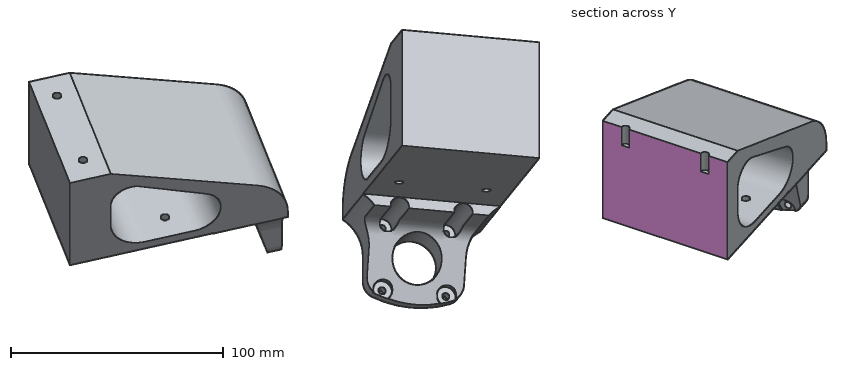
import cadquery as cq
import math


WIDTH = 67.0
LENGTH = 107.1
BODY_HEIGHT = 57.9
TOP_FLAT_LENGTH = 20.0
NOSE_HEIGHT = 20.2
NOSE_RADIUS = 25.0

WINDOW_FLOOR = 4.8
WINDOW_BACK_RADIUS = 17.2
WINDOW_TOP_RADIUS = 10.0
WINDOW_TIP_RADIUS = 12.6
WINDOW_TIP_CENTER_Y = -45.6
WINDOW_SLOPE = 25.5

SCREW_DIAMETER = 4.0
SCREW_SPACING = 42.5
TOP_SCREW_INSET = 10.1
TOP_SCREW_DEPTH = 10.7
FLOOR_SCREW_Y = -56.8

FLANGE_WIDTH = 47.4
FLANGE_DROP = 41.2
FLANGE_TIP_THICKNESS = 5.0
FLANGE_TAPER = 15.1
FLANGE_NECK_RADIUS = 20.0
FLANGE_NECK_DROP = 17.5
FLANGE_BOTTOM_RADIUS = 51.4
FLANGE_CORNER_RADIUS = 7.7
SLAB_LENGTH = 37.0
SLAB_THICKNESS = 5.1
GUSSET_RADIUS = 7.6
GUSSET_DIP_RADIUS = 5.5

TAPER_RUN = (FLANGE_DROP - SLAB_THICKNESS) * math.tan(math.radians(FLANGE_TAPER))
ROOT_Y = -FLANGE_TIP_THICKNESS - TAPER_RUN

BORE_DIAMETER = 24.0
BORE_Z = -20.2
BOLT_SPACING = 31.1
BOLT_DIAMETER = 3.4
UPPER_COUNTERBORE_DIAMETER = 9.0
LOWER_COUNTERBORE_DIAMETER = 9.3
COUNTERBORE_FLOOR = 5.0


def extrude_across(profile, width):
    """Extrude a closed YZ profile symmetrically about X = 0."""
    return profile.extrude(width / 2, both=True)


def round_edge(solid, y, z, radius):
    """Round the X-parallel edge passing through (y, z)."""
    return solid.edges(cq.selectors.NearestToPointSelector((0, y, z))).fillet(radius)


def make_body():
    profile = cq.Workplane("YZ").polyline([
        (0, 0),
        (-LENGTH, 0),
        (-LENGTH, BODY_HEIGHT),
        (TOP_FLAT_LENGTH - LENGTH, BODY_HEIGHT),
        (0, NOSE_HEIGHT),
    ]).close()
    return round_edge(extrude_across(profile, WIDTH), 0, NOSE_HEIGHT, NOSE_RADIUS)


def make_window():
    slope = math.radians(WINDOW_SLOPE)
    back_y = TOP_FLAT_LENGTH - LENGTH
    tip_y = WINDOW_TIP_CENTER_Y + WINDOW_TIP_RADIUS / math.tan(slope / 2)
    top_z = WINDOW_FLOOR + (tip_y - back_y) * math.tan(slope)
    profile = cq.Workplane("YZ").polyline([
        (tip_y, WINDOW_FLOOR),
        (back_y, WINDOW_FLOOR),
        (back_y, top_z),
    ]).close()
    window = extrude_across(profile, WIDTH)
    window = round_edge(window, tip_y, WINDOW_FLOOR, WINDOW_TIP_RADIUS)
    window = round_edge(window, back_y, WINDOW_FLOOR, WINDOW_BACK_RADIUS)
    return round_edge(window, back_y, top_z, WINDOW_TOP_RADIUS)


def make_body_screw_holes():
    def drill_pair(y, top_z, depth):
        return (
            cq.Workplane("XY", origin=(0, y, top_z))
            .rarray(SCREW_SPACING, 1.1, 2, 1)
            .circle(SCREW_DIAMETER / 2)
            .extrude(-depth)
        )

    top_holes = drill_pair(TOP_SCREW_INSET - LENGTH, BODY_HEIGHT, TOP_SCREW_DEPTH)
    floor_holes = drill_pair(FLOOR_SCREW_Y, WINDOW_FLOOR, WINDOW_FLOOR)
    return top_holes.union(floor_holes)


def make_gusset():
    """Side shape of the flange: a short slab and a tapered plate, blended where they meet."""
    profile = cq.Workplane("YZ").polyline([
        (0, 0),
        (-SLAB_LENGTH, 0),
        (-SLAB_LENGTH, -SLAB_THICKNESS),
        (ROOT_Y, -SLAB_THICKNESS),
        (-FLANGE_TIP_THICKNESS, -FLANGE_DROP),
        (0, -FLANGE_DROP),
    ]).close()
    gusset = extrude_across(profile, WIDTH)

    stations = [(-WIDTH / 2, GUSSET_RADIUS)]
    for bolt_x in (-BOLT_SPACING / 2, BOLT_SPACING / 2):
        half_dip = UPPER_COUNTERBORE_DIAMETER / 2
        stations.append((bolt_x - half_dip, GUSSET_RADIUS))
        stations.append((bolt_x, GUSSET_DIP_RADIUS))
        stations.append((bolt_x + half_dip, GUSSET_RADIUS))
    stations.append((WIDTH / 2, GUSSET_RADIUS))
    for start, end in zip(stations, stations[1:]):
        wires = [make_blend_section(x, radius) for x, radius in (start, end)]
        gusset = gusset.union(cq.Workplane(cq.Solid.makeLoft(wires, True)))
    return gusset


def make_blend_section(x, radius):
    """Concave corner between the slab underside and the tapered plate, at one X."""
    taper = math.radians(FLANGE_TAPER)
    tangent = radius * math.tan((math.pi / 2 - taper) / 2)
    slab_end = (ROOT_Y - tangent, -SLAB_THICKNESS)
    plate_end = (ROOT_Y + tangent * math.sin(taper), -SLAB_THICKNESS - tangent * math.cos(taper))
    center_y, center_z = slab_end[0], -SLAB_THICKNESS - radius
    middle_angle = (math.pi / 2 + taper) / 2
    middle = (center_y + radius * math.cos(middle_angle), center_z + radius * math.sin(middle_angle))
    section = (
        cq.Workplane("YZ", origin=(x, 0, 0))
        .moveTo(ROOT_Y, -SLAB_THICKNESS)
        .lineTo(*slab_end)
        .threePointArc(middle, plate_end)
        .close()
    )
    return section.val()


def make_flange_outline():
    """Face shape of the flange: flared neck, straight sides, bowed bottom."""
    half_width = FLANGE_WIDTH / 2
    neck_reach = math.sqrt(FLANGE_NECK_RADIUS**2 - FLANGE_NECK_DROP**2)
    root_x = half_width + FLANGE_NECK_RADIUS - neck_reach
    bow_center_z = FLANGE_BOTTOM_RADIUS - FLANGE_DROP
    corner_z = bow_center_z - math.sqrt(FLANGE_BOTTOM_RADIUS**2 - half_width**2)
    outline = (
        cq.Workplane("XZ")
        .moveTo(-root_x, 0)
        .radiusArc((-half_width, -FLANGE_NECK_DROP), FLANGE_NECK_RADIUS)
        .lineTo(-half_width, corner_z)
        .threePointArc((0, -FLANGE_DROP), (half_width, corner_z))
        .lineTo(half_width, -FLANGE_NECK_DROP)
        .radiusArc((root_x, 0), FLANGE_NECK_RADIUS)
        .close()
        .extrude(SLAB_LENGTH)
    )
    for side in (-1, 1):
        corner = (side * half_width, -SLAB_LENGTH / 2, corner_z)
        outline = outline.edges(cq.selectors.NearestToPointSelector(corner)).fillet(FLANGE_CORNER_RADIUS)
    body_width = cq.Workplane("XY").box(WIDTH, 2 * LENGTH, 2 * LENGTH)
    return outline.intersect(body_width)


def make_motor_holes():
    face = cq.Workplane("XZ", origin=(0, 0, BORE_Z))
    cuts = face.circle(BORE_DIAMETER / 2).extrude(SLAB_LENGTH)
    bolts = face.rarray(BOLT_SPACING, BOLT_SPACING, 2, 2).circle(BOLT_DIAMETER / 2).extrude(SLAB_LENGTH)
    cuts = cuts.union(bolts)
    rows = ((1, UPPER_COUNTERBORE_DIAMETER), (-1, LOWER_COUNTERBORE_DIAMETER))
    for row, diameter in rows:
        counterbores = (
            face.workplane(offset=COUNTERBORE_FLOOR)
            .center(0, row * BOLT_SPACING / 2)
            .rarray(BOLT_SPACING, 1.1, 2, 1)
            .circle(diameter / 2)
            .extrude(SLAB_LENGTH - COUNTERBORE_FLOOR)
        )
        cuts = cuts.union(counterbores)
    return cuts


body = make_body().cut(make_window()).cut(make_body_screw_holes())
flange = make_gusset().intersect(make_flange_outline())
result = body.union(flange).cut(make_motor_holes())